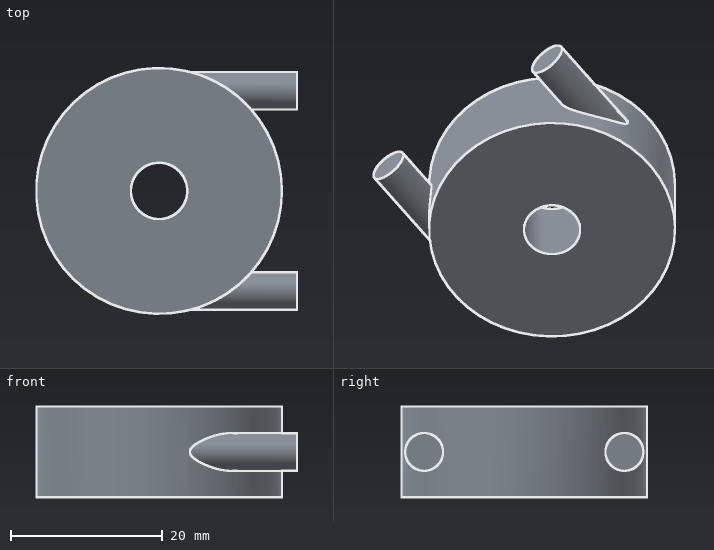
import cadquery as cq

overall_length = 34.4
housing_diameter = 32.4
housing_height = 12.0
bore_diameter = 7.4
tube_diameter = 5.0
tube_cover = 0.5

housing_radius = housing_diameter / 2
tube_end_x = overall_length - housing_radius
bend_radius = housing_radius - tube_cover - tube_diameter / 2


def make_tube():
    """U-shaped round tube: a half-circle bend around the bore, then two straight legs to +X."""
    path = (
        cq.Workplane("XY")
        .moveTo(tube_end_x, -bend_radius)
        .lineTo(0, -bend_radius)
        .threePointArc((-bend_radius, 0), (0, bend_radius))
        .lineTo(tube_end_x, bend_radius)
    )
    leg_end = cq.Workplane("YZ", origin=(tube_end_x, -bend_radius, 0))
    return leg_end.circle(tube_diameter / 2).sweep(path)


def make_housing(embedded_tube):
    """Round block with a through bore and a channel that matches the tube."""
    block = (
        cq.Workplane("XY")
        .circle(housing_radius)
        .circle(bore_diameter / 2)
        .extrude(housing_height / 2, both=True)
    )
    return block.cut(embedded_tube)


tube = make_tube()
housing = make_housing(tube)

result = cq.Compound.makeCompound([housing.solids().val(), tube.val()])